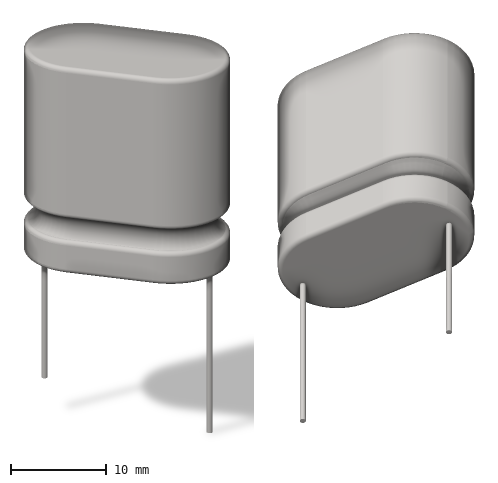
import cadquery as cq
import math

can_length = 22.0
can_width = 12.5
total_height = 42.5
can_height = 23.5
end_radius = can_width / 2
end_offset = (can_length - can_width) / 2

edge_radius = 0.5
groove_height = 5.0
groove_depth = 1.35
groove_half_opening = 1.28

stripe_inner_radius = 4.75
stripe_inner_half_width = 1.7
stripe_outer_half_width = 2.65

lead_diameter = 0.65
lead_spacing = 18.0
long_lead_length = total_height - can_height
short_lead_length = 15.0


def wall_profile(plane):
    """Half section of the can: local x is the distance from the middle, local y is the height."""
    wall = end_radius
    shoulder = wall - edge_radius
    groove_bottom = groove_height - groove_half_opening
    groove_top = groove_height + groove_half_opening
    arc_inset = edge_radius * (1 - math.sqrt(0.5))
    return (
        cq.Workplane(plane)
        .moveTo(0, 0)
        .lineTo(shoulder, 0)
        .threePointArc((wall - arc_inset, arc_inset), (wall, edge_radius))
        .lineTo(wall, groove_bottom - edge_radius)
        .threePointArc((wall - arc_inset, groove_bottom - arc_inset), (shoulder, groove_bottom))
        .threePointArc((wall - groove_depth, groove_height), (shoulder, groove_top))
        .threePointArc((wall - arc_inset, groove_top + arc_inset), (wall, groove_top + edge_radius))
        .lineTo(wall, can_height - edge_radius)
        .threePointArc((wall - arc_inset, can_height - arc_inset), (shoulder, can_height))
        .lineTo(0, can_height)
        .close()
    )


def section_plane(x, side):
    """Vertical plane across the can at x, its local x pointing to +Y or -Y as side is 1 or -1."""
    return cq.Plane(origin=(x, 0, 0), xDir=(0, side, 0), normal=(side, 0, 0))


def make_can_blank():
    """Whole can: two straight halves closed by a half-round end on each side."""
    blank = None
    for side in (1, -1):
        start = section_plane(-side * end_offset, side)
        straight_half = wall_profile(start).extrude(2 * end_offset)
        rounded_end = wall_profile(start).revolve(180, (0, 0), (0, 1))
        half = straight_half.union(rounded_end)
        blank = half if blank is None else blank.union(half)
    return blank


def make_stripe_region():
    """Full-height prism that bounds the stripe: concentric inner face and two flaring sides."""
    inner_x = -end_offset - math.sqrt(stripe_inner_radius**2 - stripe_inner_half_width**2)
    outer_x = -end_offset - math.sqrt(end_radius**2 - stripe_outer_half_width**2)
    far_x = 2 * outer_x - inner_x
    far_half_width = 2 * stripe_outer_half_width - stripe_inner_half_width
    return (
        cq.Workplane("XY")
        .moveTo(inner_x, -stripe_inner_half_width)
        .threePointArc(
            (-end_offset - stripe_inner_radius, 0),
            (inner_x, stripe_inner_half_width),
        )
        .lineTo(far_x, far_half_width)
        .lineTo(far_x, -far_half_width)
        .close()
        .extrude(can_height)
    )


def make_lead(x, length):
    """Round wire hanging from the underside of the can."""
    return cq.Workplane("XY").center(x, 0).circle(lead_diameter / 2).extrude(-length)


can_blank = make_can_blank()
stripe_region = make_stripe_region()
can = can_blank.cut(stripe_region)
stripe = can_blank.intersect(stripe_region)

leads = []
for x, length in ((-lead_spacing / 2, short_lead_length), (lead_spacing / 2, long_lead_length)):
    leads.append(make_lead(x, length).val())

result = cq.Compound.makeCompound([*can.vals(), *stripe.vals(), *leads])